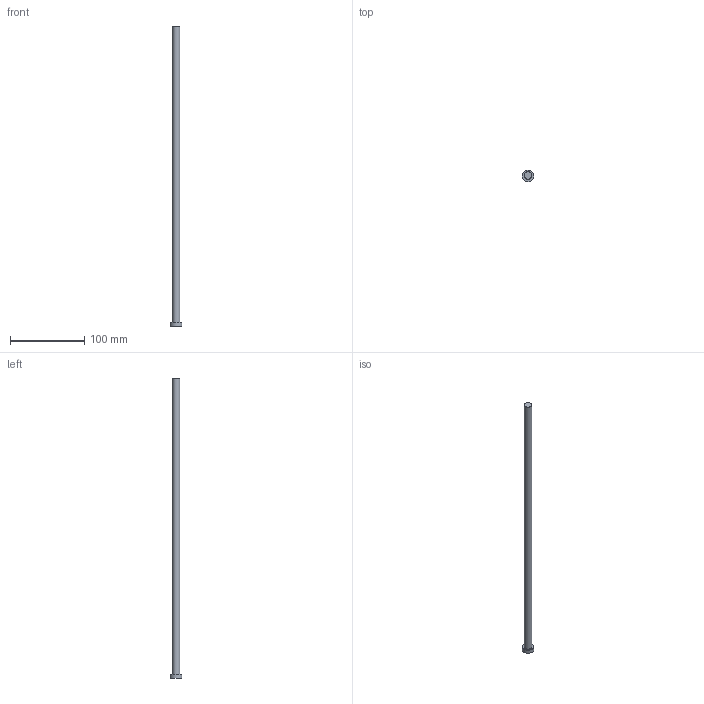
import cadquery as cq

head_diameter = 16.0
head_height = 5.0
shank_diameter = 10.5
overall_length = 405.0

shank_length = overall_length - head_height

head = cq.Workplane("XY").circle(head_diameter / 2).extrude(head_height)

shank = (
    cq.Workplane("XY")
    .workplane(offset=head_height)
    .circle(shank_diameter / 2)
    .extrude(shank_length)
)

result = head.union(shank)